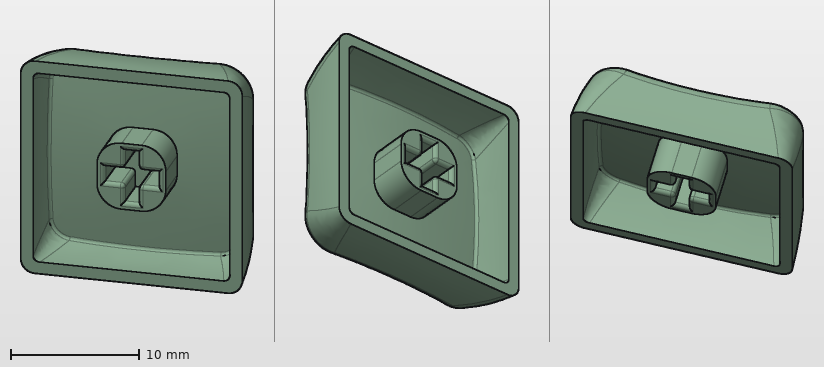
import cadquery as cq
import math


MOUTH_SIZE = 17.87
MOUTH_CORNER_RADIUS = 1.15
CORNER_GROWTH = 0.36
END_WALL_RADIUS = 18.78
SIDE_WALL_RADIUS = 26.84
SIDE_BULGE_DEPTH = 0.7
MOUTH_BOW = 0.002
BOW_GROWTH = 0.01

DISH_RADIUS = 41.5
DISH_DEPTH = 4.38
TOP_FILLET = 1.25

WALL = 1.0
CAVITY_CORNER_RADIUS = 0.5
CAVITY_CORNER_GROWTH = 0.28
CAVITY_DEPTH = 3.3
FLOOR_RADIUS = 55.46
CAVITY_FILLET = 0.23

STEM_SIZE = 5.55
STEM_CORNER_RADIUS = 1.97
CROSS_LENGTH = 4.35
CROSS_ARM_X = 1.15
CROSS_ARM_Z = 1.29
CROSS_FILLET = 0.34

LOFT_STEPS = 4
LOFT_DEPTH = 6.44


def at_depth(depth):
    """Plane parallel to the mouth, with local axes along X and Z."""
    return cq.Workplane("XZ", origin=(0, depth, 0))


def arc_sag(radius, distance):
    return radius - math.sqrt(radius**2 - distance**2)


def skirt_section(depth, inset, mouth_corner_radius, corner_growth):
    """Rounded square with bowed +X and -X sides."""
    half_z = MOUTH_SIZE / 2 - inset - arc_sag(END_WALL_RADIUS, depth)
    half_x = (
        MOUTH_SIZE / 2
        - inset
        + arc_sag(SIDE_WALL_RADIUS, SIDE_BULGE_DEPTH)
        - arc_sag(SIDE_WALL_RADIUS, depth - SIDE_BULGE_DEPTH)
    )
    radius = mouth_corner_radius + corner_growth * depth
    side_x = half_x - MOUTH_BOW - BOW_GROWTH * depth
    flat_x = side_x - radius
    flat_z = half_z - radius
    diagonal = radius * math.sqrt(0.5)
    mid_x = flat_x + diagonal
    mid_z = flat_z + diagonal
    return (
        at_depth(depth)
        .moveTo(-flat_x, -half_z)
        .lineTo(flat_x, -half_z)
        .threePointArc((mid_x, -mid_z), (side_x, -flat_z))
        .threePointArc((half_x, 0), (side_x, flat_z))
        .threePointArc((mid_x, mid_z), (flat_x, half_z))
        .lineTo(-flat_x, half_z)
        .threePointArc((-mid_x, mid_z), (-side_x, flat_z))
        .threePointArc((-half_x, 0), (-side_x, -flat_z))
        .threePointArc((-mid_x, -mid_z), (-flat_x, -half_z))
        .close()
        .val()
    )


def dished_block(inset, mouth_corner_radius, corner_growth, dish_radius, dish_depth, fillet):
    """Tapered block from the mouth up to a spherical dish with a rounded rim."""
    depths = [LOFT_DEPTH * step / LOFT_STEPS for step in range(LOFT_STEPS + 1)]
    sections = [
        skirt_section(depth, inset, mouth_corner_radius, corner_growth) for depth in depths
    ]
    block = cq.Workplane(cq.Solid.makeLoft(sections))
    dish = cq.Workplane("XY").sphere(dish_radius).translate((0, dish_depth + dish_radius, 0))
    block = block.cut(dish)
    return block.faces("%SPHERE").edges().fillet(fillet)


def rounded_quadrant(sign_x, sign_z):
    """Block beside two arms of the cross, rounded on the three edges of its inner mouth corner."""
    corner = cq.Vector(CROSS_ARM_X / 2, 0, CROSS_ARM_Z / 2)
    block = cq.Workplane("XY").box(STEM_SIZE, DISH_DEPTH, STEM_SIZE, centered=False)
    block = block.edges("(<X and <Y) or (<X and <Z) or (<Y and <Z)").fillet(CROSS_FILLET)
    block = block.translate(corner)
    if sign_x < 0:
        block = block.mirror("YZ")
    if sign_z < 0:
        block = block.mirror("XY")
    return block


def stem():
    """Rounded post with a rounded cross socket, longer than the cavity is deep."""
    frame = at_depth(0).rect(2 * STEM_SIZE, 2 * STEM_SIZE)
    block = frame.rect(CROSS_LENGTH, CROSS_LENGTH).extrude(-DISH_DEPTH)
    pocket_mouth = cq.selectors.BoxSelector(
        (-STEM_SIZE / 2, -CROSS_FILLET, -STEM_SIZE / 2), (STEM_SIZE / 2, CROSS_FILLET, STEM_SIZE / 2)
    )
    block = block.edges(pocket_mouth).fillet(CROSS_FILLET)
    for sign_x in (-1, 1):
        for sign_z in (-1, 1):
            block = block.union(rounded_quadrant(sign_x, sign_z))
    post = at_depth(0).rect(STEM_SIZE, STEM_SIZE).extrude(-DISH_DEPTH)
    post = post.edges("|Y").fillet(STEM_CORNER_RADIUS)
    return post.intersect(block)


outer = dished_block(0, MOUTH_CORNER_RADIUS, CORNER_GROWTH, DISH_RADIUS, DISH_DEPTH, TOP_FILLET)
cavity = dished_block(
    WALL, CAVITY_CORNER_RADIUS, CAVITY_CORNER_GROWTH, FLOOR_RADIUS, CAVITY_DEPTH, CAVITY_FILLET
)
result = outer.cut(cavity).union(stem().intersect(cavity))